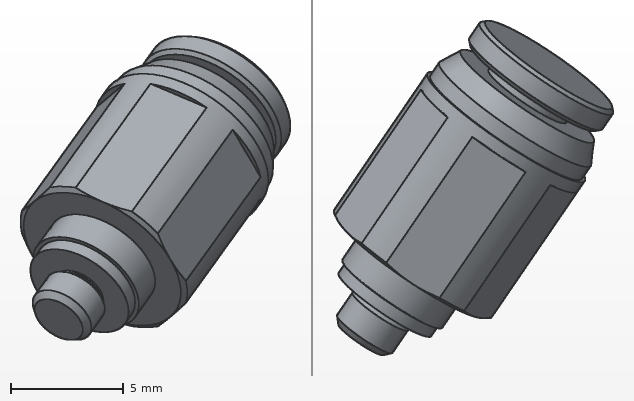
import cadquery as cq
import math

tip_chamfer_end = 0.3
thread_end = 1.53
relief_start = 1.8
seat_start = 1.9
boss_start = 2.5
body_start = 4.0
collar_start = 11.02
collar_end = 11.61
sleeve_end = 12.33
taper_end = 13.29
cap_start = 13.8
length = 15.0

thread_radius = 1.5
relief_radius = 1.23
seat_radius = 2.5
boss_radius = 2.7
body_diameter = 8.5
sleeve_radius = 4.1
release_radius = 3.6
release_neck_radius = 2.1

across_flats = 8.01
body_chamfer_angle = 30.0
cap_chamfer = 0.18

body_radius = body_diameter / 2
body_face_radius = across_flats / 2
body_chamfer_length = (body_radius - body_face_radius) * math.tan(math.radians(body_chamfer_angle))


def turned_profile():
    """Half section of the fitting as (radius, station) points."""
    return [
        (0, 0),
        (relief_radius, 0),
        (thread_radius, tip_chamfer_end),
        (thread_radius, thread_end),
        (relief_radius, relief_start),
        (relief_radius, seat_start),
        (seat_radius, seat_start),
        (seat_radius, boss_start),
        (boss_radius, boss_start),
        (boss_radius, body_start),
        (body_face_radius, body_start),
        (body_radius, body_start + body_chamfer_length),
        (body_radius, collar_end),
        (sleeve_radius, collar_end),
        (sleeve_radius, sleeve_end),
        (release_radius, taper_end),
        (release_neck_radius, taper_end),
        (release_neck_radius, cap_start),
        (release_radius - cap_chamfer, cap_start),
        (release_radius, cap_start + cap_chamfer),
        (release_radius, length - cap_chamfer),
        (release_radius - cap_chamfer, length),
        (0, length),
    ]


def flats_cutter():
    """Ring around a hexagonal prism, with flats facing +Z and -Z."""
    flats_length = collar_start - body_start
    hexagon_diameter = across_flats / math.cos(math.pi / 6)
    face = cq.Workplane("XZ", origin=(0, body_start, 0))
    ring = face.circle(body_diameter).extrude(-flats_length)
    prism = face.polygon(6, hexagon_diameter).extrude(-flats_length)
    return ring.cut(prism)


turned = cq.Workplane("XY").polyline(turned_profile()).close().revolve(360, (0, 0, 0), (0, 1, 0))
result = turned.cut(flats_cutter())